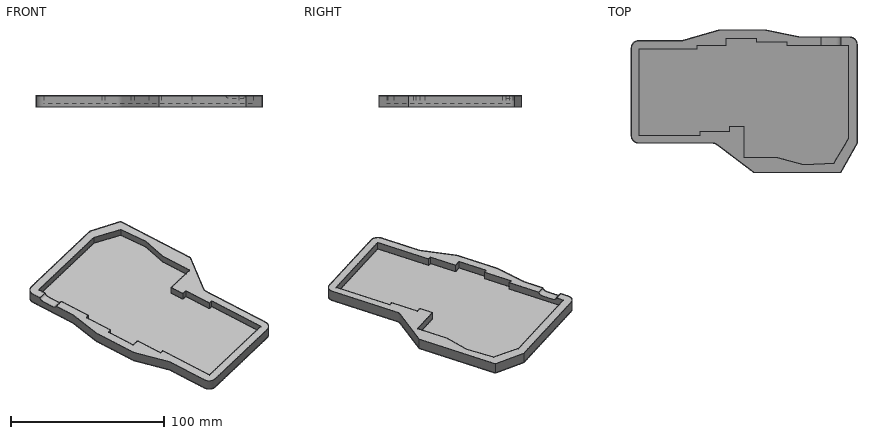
import cadquery as cq

length = 147.6
width = 93.1
thickness = 7.5
corner_radius = 5.0

arm_bottom = 19.2
arm_top = 86.2
head_top = 88.5
elbow = 54.8

pocket_depth = 5.2
pocket_left = 5.2
pocket_right = 142.0
pocket_shoulder = 83.0

notch_left = 123.8
notch_right = 136.8
notch_depth = 2.0
notch_end_width = 3.1

plate_outline = [
    (0, arm_bottom),
    (elbow, arm_bottom),
    (80.1, 0),
    (136.8, 0),
    (length, arm_bottom),
    (length, head_top),
    (110.1, head_top),
    (87.7, width),
    (57.4, width),
    (33.4, arm_top),
    (0, arm_top),
]

rounded_corners = [
    (0, arm_bottom),
    (elbow, arm_bottom),
    (length, head_top),
    (0, arm_top),
]

pocket_outline = [
    (pocket_left, 24.2),
    (45.0, 24.2),
    (45.0, 26.7),
    (64.2, 26.7),
    (64.2, 30.0),
    (73.6, 30.0),
    (73.6, 9.7),
    (95.5, 9.7),
    (112.6, 5.2),
    (132.2, 6.0),
    (pocket_right, 22.5),
    (pocket_right, pocket_shoulder),
    (101.7, pocket_shoulder),
    (101.7, 85.3),
    (81.9, 85.3),
    (81.9, 87.7),
    (61.8, 87.7),
    (61.8, pocket_shoulder),
    (43.1, pocket_shoulder),
    (43.1, 80.6),
    (pocket_left, 80.6),
]


def make_plate():
    plate = cq.Workplane("XY").polyline(plate_outline).close().extrude(thickness)
    for x, y in rounded_corners:
        corner = cq.selectors.NearestToPointSelector((x, y, thickness / 2))
        plate = plate.edges("|Z").edges(corner).fillet(corner_radius)
    return plate


def make_pocket():
    floor = cq.Workplane("XY").workplane(offset=thickness - pocket_depth)
    return floor.polyline(pocket_outline).close().extrude(pocket_depth)


def make_notch():
    wall = head_top - pocket_shoulder
    end_centers = [notch_left + notch_end_width, notch_right - notch_end_width]
    middle = sum(end_centers) / 2
    flat_width = end_centers[1] - end_centers[0]
    top_edge = cq.Workplane("XZ", origin=(0, head_top, thickness))
    notch = top_edge.center(middle, 0).rect(flat_width, 2 * notch_depth).extrude(wall)
    for x in end_centers:
        end = top_edge.center(x, 0).ellipse(notch_end_width, notch_depth).extrude(wall)
        notch = notch.union(end)
    return notch


result = make_plate().cut(make_pocket()).cut(make_notch())